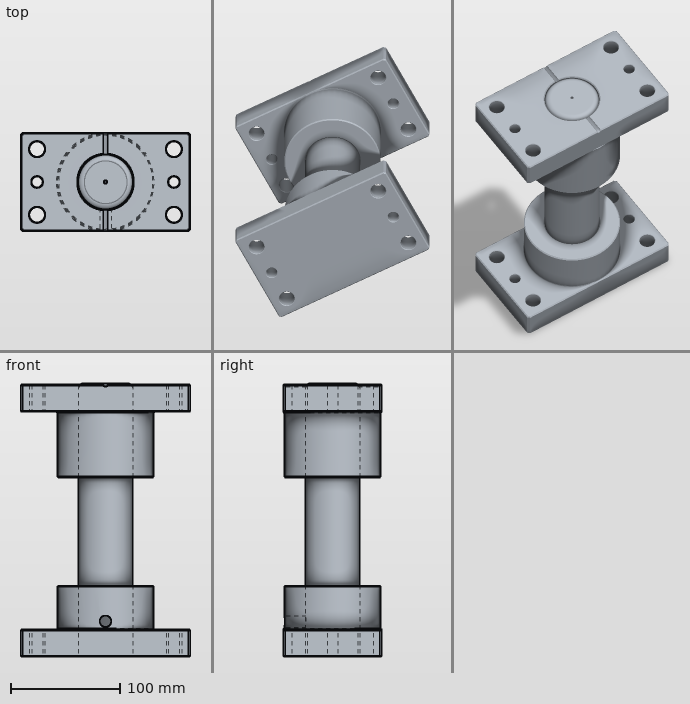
import cadquery as cq
import math

overall_height = 250.0
plate_length = 155.0
plate_width = 90.0
plate_thickness = 25.0
corner_chamfer = 2.0
plate_edge_chamfer = 1.0

pillar_diameter = 50.0
pillar_projection = 1.2
pillar_crown_radius = 5.5
center_hole_diameter = 3.0
center_hole_depth = 2.5

boss_diameter = 88.0
boss_edge_chamfer = 1.0
boss_base_fillet = 1.0
bore_chamfer = 1.0
hub_height = 40.0
barrel_height = 60.0

bolt_spacing_x = 125.0
bolt_spacing_y = 60.0
bolt_hole_diameter = 14.0
dowel_hole_diameter = 10.0
hole_chamfer = 0.5

cross_hole_diameter = 10.5
cross_hole_height = 32.5
groove_width = 4.0

upper_plate_top = overall_height - pillar_projection
upper_plate_bottom = upper_plate_top - plate_thickness
barrel_bottom = upper_plate_bottom - barrel_height
hub_top = plate_thickness + hub_height


def make_plate(bottom):
    """Rectangular plate with chamfered corners and edges."""
    plate = (
        cq.Workplane("XY", origin=(0, 0, bottom))
        .rect(plate_length, plate_width)
        .extrude(plate_thickness)
    )
    plate = plate.edges("|Z").chamfer(corner_chamfer)
    return plate.faces("<Z or >Z").edges().chamfer(plate_edge_chamfer)


def make_boss(base, tip):
    """Round boss from its plate face to its free end, with a concave fillet at the plate."""
    radius = boss_diameter / 2
    away = 1 if tip > base else -1
    fillet_mid = boss_base_fillet * (1 - math.cos(math.radians(45)))
    profile = (
        cq.Workplane("XZ")
        .moveTo(0, base)
        .lineTo(radius + boss_base_fillet, base)
        .threePointArc(
            (radius + fillet_mid, base + away * fillet_mid),
            (radius, base + away * boss_base_fillet),
        )
        .lineTo(radius, tip - away * boss_edge_chamfer)
        .lineTo(radius - boss_edge_chamfer, tip)
        .lineTo(0, tip)
        .close()
    )
    return profile.revolve(360, (0, 0, 0), (0, 1, 0))


def chamfered_bore(diameter, chamfer, bottom, top, chamfer_bottom):
    """Cutter for a round hole with a chamfered top mouth and, if asked, a chamfered bottom mouth."""
    bore = cq.Workplane("XY", origin=(0, 0, bottom)).circle(diameter / 2).extrude(top - bottom)
    mouth_radius = diameter / 2 + chamfer
    upper = cq.Solid.makeCone(diameter / 2, mouth_radius, chamfer, cq.Vector(0, 0, top - chamfer))
    bore = bore.union(cq.Workplane(upper))
    if chamfer_bottom:
        lower = cq.Solid.makeCone(mouth_radius, diameter / 2, chamfer, cq.Vector(0, 0, bottom))
        bore = bore.union(cq.Workplane(lower))
    return bore


def cut_mounting_holes(body, bottom):
    """Four bolt holes near the corners and two dowel holes on the long center line."""
    top = bottom + plate_thickness
    bolt_hole = chamfered_bore(bolt_hole_diameter, hole_chamfer, bottom, top, chamfer_bottom=True)
    dowel_hole = chamfered_bore(dowel_hole_diameter, hole_chamfer, bottom, top, chamfer_bottom=True)
    for x in (-bolt_spacing_x / 2, bolt_spacing_x / 2):
        body = body.cut(dowel_hole.translate((x, 0, 0)))
        for y in (-bolt_spacing_y / 2, bolt_spacing_y / 2):
            body = body.cut(bolt_hole.translate((x, y, 0)))
    return body


def make_lower_holder():
    """Lower plate with the hub that holds the pillar and a radial cross hole on the -Y side."""
    body = make_plate(0).union(make_boss(plate_thickness, hub_top))
    body = cut_mounting_holes(body, 0)
    body = body.cut(chamfered_bore(pillar_diameter, bore_chamfer, 0, hub_top, chamfer_bottom=False))
    cross_hole = (
        cq.Workplane("XZ", origin=(0, 0, cross_hole_height))
        .circle(cross_hole_diameter / 2)
        .extrude(plate_width)
    )
    return body.cut(cross_hole)


def make_upper_holder():
    """Upper plate with the guide barrel and a half-round groove across its top."""
    body = make_plate(upper_plate_bottom).union(make_boss(upper_plate_bottom, barrel_bottom))
    body = cut_mounting_holes(body, upper_plate_bottom)
    bore = chamfered_bore(
        pillar_diameter, bore_chamfer, barrel_bottom, upper_plate_top, chamfer_bottom=True
    )
    body = body.cut(bore)
    groove = (
        cq.Workplane("XZ", origin=(0, plate_width / 2, upper_plate_top))
        .moveTo(-groove_width / 2, 0)
        .threePointArc((0, -groove_width / 2), (groove_width / 2, 0))
        .close()
        .extrude(plate_width)
    )
    return body.cut(groove)


def make_pillar():
    """Guide pillar with a rounded top edge and a small center hole."""
    pillar = cq.Workplane("XY").circle(pillar_diameter / 2).extrude(overall_height)
    pillar = pillar.faces(">Z").edges().fillet(pillar_crown_radius)
    return pillar.faces(">Z").workplane().hole(center_hole_diameter, center_hole_depth)


lower_holder = make_lower_holder()
upper_holder = make_upper_holder()
pillar = make_pillar()
result = cq.Compound.makeCompound([lower_holder.val(), upper_holder.val(), pillar.val()])